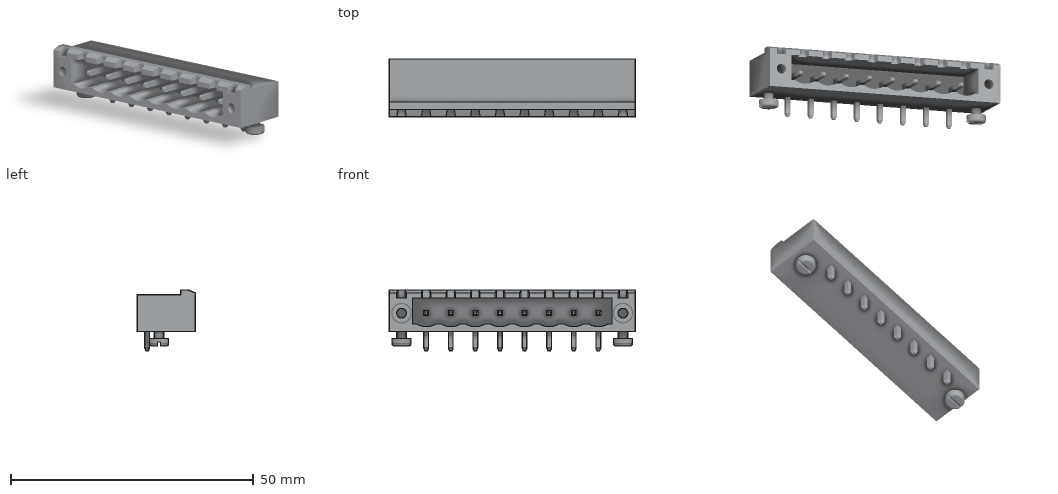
import cadquery as cq


pitch = 5.08
contact_count = 8
contact_z = 3.8
contact_xs = [(i - (contact_count - 1) / 2) * pitch for i in range(contact_count)]

flange_x = (contact_count + 1) / 2 * pitch
flange_xs = [-flange_x, flange_x]
housing_length = (contact_count + 2) * pitch
housing_depth = 12.0
housing_height = 7.6

lip_top = 8.6
lip_front_top = 8.0
lip_depth = 3.05
lip_slope_depth = 1.5

slot_front_width = 2.0
slot_back_width = 1.5
slot_depth = lip_slope_depth

cavity_width = 41.2
cavity_depth = 9.0
cavity_top = 6.9
cavity_floor = 1.6
scallop_width = 4.0
scallop_drop = 0.6

pin_size = 1.0
pin_tip_size = 0.55
pin_tip_length = 0.6
pin_leg_y = 9.95
pin_leg_length = 4.0
pin_front_y = 2.0

bushing_diameter = 4.0
bushing_bore = 2.0
bushing_depth = 6.0

screw_y = 7.5
screw_diameter = 2.0
screw_head_diameter = 4.0
screw_neck_length = 1.4
screw_head_height = 1.6
screw_head_rounding = 0.5
driver_slot_width = 0.6
driver_slot_depth = 0.8


def make_housing():
    """Constant side profile with the sloped lip, extruded along X."""
    profile = [
        (0, 0),
        (housing_depth, 0),
        (housing_depth, housing_height),
        (lip_depth, housing_height),
        (lip_depth, lip_top),
        (lip_slope_depth, lip_top),
        (0, lip_front_top),
    ]
    return cq.Workplane("YZ").polyline(profile).close().extrude(housing_length / 2, both=True)


def make_cavity():
    """Rectangular cavity whose floor dips in an arc under every contact."""
    outline = cq.Workplane("XZ").moveTo(-cavity_width / 2, cavity_top)
    outline = outline.lineTo(-cavity_width / 2, cavity_floor)
    for x in contact_xs:
        outline = outline.lineTo(x - scallop_width / 2, cavity_floor)
        outline = outline.threePointArc(
            (x, cavity_floor - scallop_drop),
            (x + scallop_width / 2, cavity_floor),
        )
    outline = outline.lineTo(cavity_width / 2, cavity_floor)
    outline = outline.lineTo(cavity_width / 2, cavity_top)
    return outline.close().extrude(-cavity_depth)


def make_coding_slot(x):
    """Tapered slot from the lip down to the level of the cavity roof."""
    outline = [
        (x - slot_front_width / 2, 0),
        (x + slot_front_width / 2, 0),
        (x + slot_back_width / 2, slot_depth),
        (x - slot_back_width / 2, slot_depth),
    ]
    slot_height = lip_top - cavity_top
    return cq.Workplane("XY").workplane(offset=cavity_top).polyline(outline).close().extrude(slot_height)


def make_pin_arm(plane, length):
    """Square bar along the plane normal, ending in a tapered tip."""
    shank_length = length - pin_tip_length
    shank = cq.Workplane(plane).rect(pin_size, pin_size).extrude(shank_length)
    tip = (
        cq.Workplane(plane)
        .workplane(offset=shank_length)
        .rect(pin_size, pin_size)
        .workplane(offset=pin_tip_length)
        .rect(pin_tip_size, pin_tip_size)
        .loft(ruled=True)
    )
    return shank.union(tip)


def make_contact(x):
    """Right-angle contact: one arm into the cavity, one leg through the board."""
    bend = (x, pin_leg_y, contact_z)
    arm_plane = cq.Plane(origin=bend, xDir=(1, 0, 0), normal=(0, -1, 0))
    leg_plane = cq.Plane(origin=bend, xDir=(1, 0, 0), normal=(0, 0, -1))
    arm = make_pin_arm(arm_plane, pin_leg_y - pin_front_y)
    leg = make_pin_arm(leg_plane, contact_z + pin_leg_length)
    return arm.union(leg)


def make_screw(x):
    """Slotted screw hanging below the housing."""
    neck = cq.Workplane("XY").center(x, screw_y).circle(screw_diameter / 2).extrude(-screw_neck_length)
    head = (
        cq.Workplane("XY")
        .workplane(offset=-screw_neck_length)
        .center(x, screw_y)
        .circle(screw_head_diameter / 2)
        .extrude(-screw_head_height)
        .faces("<Z")
        .edges()
        .fillet(screw_head_rounding)
    )
    head_bottom = -screw_neck_length - screw_head_height
    driver_slot = (
        cq.Workplane("XY")
        .workplane(offset=head_bottom)
        .center(x, screw_y)
        .rect(screw_head_diameter, driver_slot_width)
        .extrude(driver_slot_depth)
    )
    return neck.union(head.cut(driver_slot))


def make_front_cylinder(x, diameter):
    """Cylinder running back from the mating face at contact height."""
    return cq.Workplane("XZ").center(x, contact_z).circle(diameter / 2).extrude(-bushing_depth)


result = make_housing().cut(make_cavity())

for x in contact_xs + flange_xs:
    result = result.cut(make_coding_slot(x))

for x in contact_xs:
    result = result.union(make_contact(x))

for x in flange_xs:
    result = result.union(make_screw(x))

for x in flange_xs:
    seat = make_front_cylinder(x, bushing_diameter)
    sleeve = seat.cut(make_front_cylinder(x, bushing_bore))
    result = result.cut(seat, clean=False).union(sleeve, clean=False)